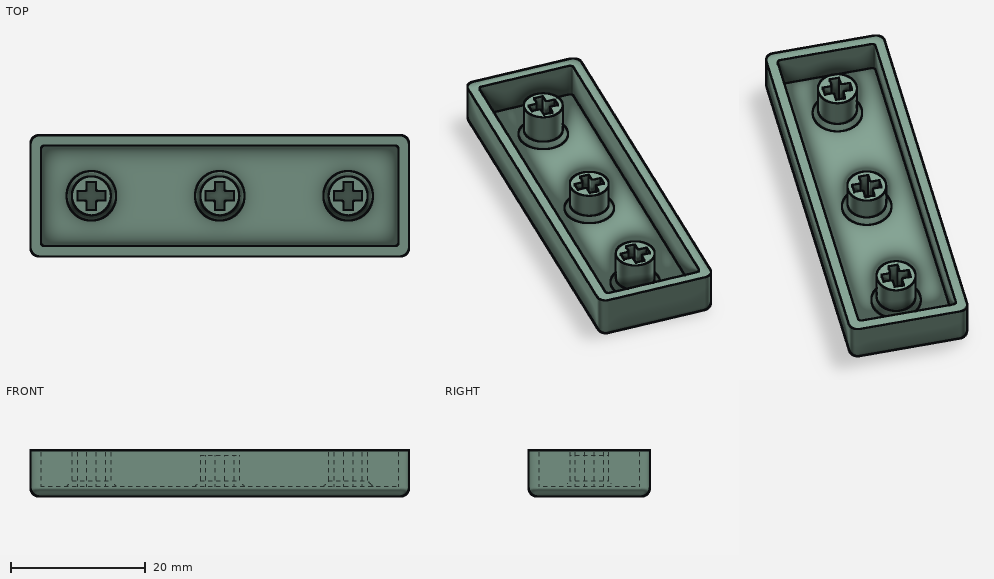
import cadquery as cq

length = 56.15
width = 18.0
height = 6.9
corner_radius = 1.35
bottom_radius = 1.35

wall = 1.6
floor = 1.5
cavity_corner_radius = 0.5

stem_pitch = 19.05
stem_diameter = 5.8
middle_stem_recess = 0.85
flare = 0.8
cross_span = 4.15
cross_arm = 1.4
cross_corner_radius = 0.3

outer_stem_height = height - floor
middle_stem_height = outer_stem_height - middle_stem_recess


def make_tray():
    """Rounded box with a flat-floored cavity."""
    body = cq.Workplane("XY").box(length, width, height, centered=(True, True, False))
    body = body.edges("|Z").fillet(corner_radius)
    body = body.faces("<Z").edges().fillet(bottom_radius)
    cavity = (
        cq.Workplane("XY", origin=(0, 0, floor))
        .rect(length - 2 * wall, width - 2 * wall)
        .extrude(height - floor)
        .edges("|Z")
        .fillet(cavity_corner_radius)
    )
    return body.cut(cavity)


def make_stem(stem_height):
    """Post with a conical foot and a cross socket down to the floor."""
    radius = stem_diameter / 2
    post = (
        cq.Workplane("XZ")
        .moveTo(0, 0)
        .lineTo(radius + flare, 0)
        .lineTo(radius, flare)
        .lineTo(radius, stem_height)
        .lineTo(0, stem_height)
        .close()
        .revolve(360, (0, 0), (0, 1))
    )
    arm_along_x = cq.Workplane("XY").rect(cross_span, cross_arm).extrude(stem_height)
    arm_along_y = cq.Workplane("XY").rect(cross_arm, cross_span).extrude(stem_height)
    corner_reach = (cross_arm + cross_span) / 4
    inner_corners = cq.selectors.BoxSelector(
        (-corner_reach, -corner_reach, 0),
        (corner_reach, corner_reach, stem_height),
    )
    socket = arm_along_x.union(arm_along_y)
    socket = socket.edges("|Z").edges(inner_corners).fillet(cross_corner_radius)
    return post.cut(socket)


middle_stem = make_stem(middle_stem_height).translate((0, 0, floor))
outer_stem = make_stem(outer_stem_height).translate((0, 0, floor))

result = make_tray().union(middle_stem)
for side in (-1, 1):
    result = result.union(outer_stem.translate((side * stem_pitch, 0, 0)))